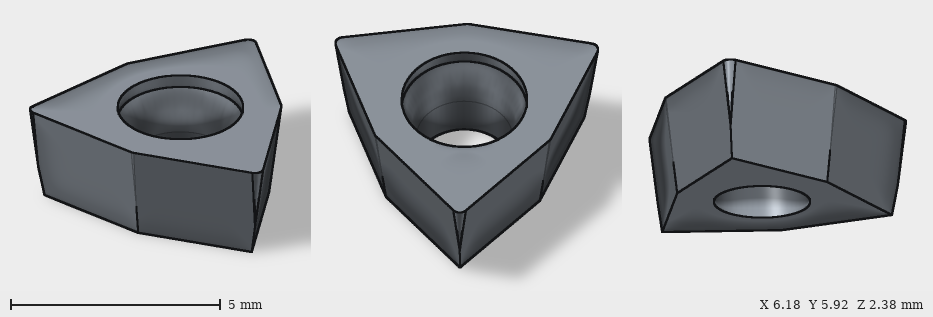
import cadquery as cq
import math

THICKNESS = 2.38
INSCRIBED_RADIUS = 2.38
RELIEF_ANGLE = 7.0
CORNER_RADIUS = 0.2
NOSE_HALF_ANGLE = 40.0
BLUNT_HALF_ANGLE = 120.0 - NOSE_HALF_ANGLE
FIRST_NOSE_DIRECTION = -20.0

CORNERS = []
for nose_index in range(3):
    nose_direction = FIRST_NOSE_DIRECTION + 120 * nose_index
    CORNERS.append((nose_direction, NOSE_HALF_ANGLE))
    CORNERS.append((nose_direction + 60, BLUNT_HALF_ANGLE))

BORE_DIAMETER = 2.3
MOUTH_DIAMETER = 3.0
MOUTH_DEPTH = 0.32
SEAT_END_DEPTH = 1.36

relief_slope = math.tan(math.radians(RELIEF_ANGLE))


def polar(radius, angle):
    radians = math.radians(angle)
    return (radius * math.cos(radians), radius * math.sin(radians))


def corner_point(flank_distance, direction, half_angle):
    """Sharp corner between two flanks at the given distance from the axis."""
    return polar(flank_distance / math.sin(math.radians(half_angle)), direction)


def trigon_points(flank_distance):
    return [corner_point(flank_distance, *corner) for corner in CORNERS]


def sharp_body():
    bottom_flank_distance = INSCRIBED_RADIUS - THICKNESS * relief_slope
    return (
        cq.Workplane("XY")
        .polyline(trigon_points(bottom_flank_distance)).close()
        .workplane(offset=THICKNESS)
        .polyline(trigon_points(INSCRIBED_RADIUS)).close()
        .loft(ruled=True)
    )


def corner_trim(direction, half_angle):
    """Sliver between a sharp corner and a cone whose tip lies on the corner edge."""
    cone_height = CORNER_RADIUS / relief_slope
    center = corner_point(INSCRIBED_RADIUS - CORNER_RADIUS, direction, half_angle)
    tip = cq.Vector(*center, THICKNESS - cone_height)
    corner = corner_point(INSCRIBED_RADIUS, direction, half_angle)
    tangent_turn = 90 - half_angle

    def on_rounding(angle):
        dx, dy = polar(CORNER_RADIUS, angle)
        return (center[0] + dx, center[1] + dy)

    base = [
        cq.Vector(*point, THICKNESS)
        for point in (center, on_rounding(direction - tangent_turn), corner,
                      on_rounding(direction + tangent_turn))
    ]
    faces = [cq.Face.makeFromWires(cq.Wire.makePolygon(base, close=True))]
    for start, end in zip(base, base[1:] + base[:1]):
        side = cq.Wire.makePolygon([start, end, tip], close=True)
        faces.append(cq.Face.makeFromWires(side))
    pyramid = cq.Solid.makeSolid(cq.Shell.makeShell(faces))
    cone = cq.Solid.makeCone(0, CORNER_RADIUS, cone_height, pnt=tip)
    return pyramid.cut(cone)


def screw_hole():
    """Bore with a bulging curved seat that runs tangent into it."""
    bore_radius = BORE_DIAMETER / 2
    mouth_radius = MOUTH_DIAMETER / 2
    seat_top = THICKNESS - MOUTH_DEPTH
    seat_bottom = THICKNESS - SEAT_END_DEPTH
    return (
        cq.Workplane("XZ")
        .lineTo(bore_radius, 0)
        .lineTo(bore_radius, seat_bottom)
        .tangentArcPoint((mouth_radius, seat_top), relative=False)
        .lineTo(mouth_radius, THICKNESS)
        .lineTo(0, THICKNESS)
        .close()
        .revolve(360, (0, 0), (0, 1))
    )


result = sharp_body()
for corner_direction, corner_half_angle in CORNERS:
    trim = corner_trim(corner_direction, corner_half_angle)
    result = result.cut(cq.Workplane(obj=trim))
result = result.cut(screw_hole())